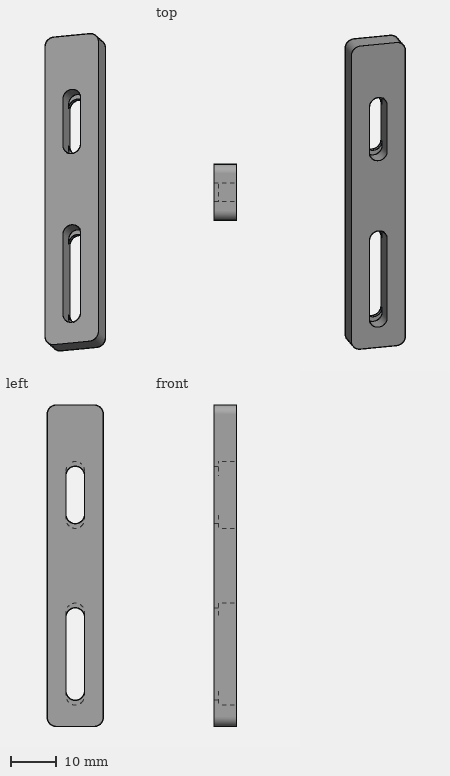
import cadquery as cq

thickness = 5.0
width = 12.25
length = 70.0
corner_radius = 2.0

slot_width = 4.0
lower_slot_bottom = 5.75
lower_slot_top = 25.8
upper_slot_bottom = 44.2
upper_slot_top = 56.6

lip_depth = 1.0
end_extension = 1.05


def slot_cutter(bottom, top, start_depth):
    """Round-ended cutter running from a depth below the -X face out through the +X face."""
    middle = (bottom + top) / 2 - length / 2
    return (
        cq.Workplane("YZ", origin=(start_depth - thickness / 2, 0, middle))
        .slot2D(top - bottom, slot_width, 90)
        .extrude(thickness - start_depth)
    )


def cut_lipped_slot(body, bottom, top):
    """Cut a through slot whose ends are undercut behind the lip."""
    through_slot = slot_cutter(bottom, top, 0)
    long_slot = slot_cutter(bottom - end_extension, top + end_extension, lip_depth)
    return body.cut(through_slot).cut(long_slot)


bar = cq.Workplane("XY").box(thickness, width, length).edges("|X").fillet(corner_radius)
bar = cut_lipped_slot(bar, lower_slot_bottom, lower_slot_top)
bar = cut_lipped_slot(bar, upper_slot_bottom, upper_slot_top)

result = bar